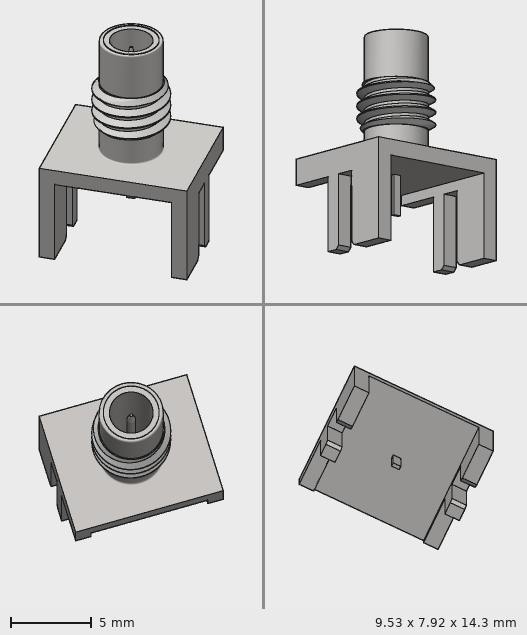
import cadquery as cq
import math

width = 9.53
depth = 7.92
total_height = 14.27
plate_top = 6.44
plate_thickness = 1.01
wall_thickness = 1.0
wall_height = 1.67
front_leg_width = 2.6
leg_gap = 1.24
back_leg_width = 1.03
foot_chamfer = 0.24

barrel_radius = 3.97 / 2
edge_fillet = 0.1
bore_radius = 2.7 / 2
recess_radius = 3.45 / 2
recess_depth = 0.05

thread_bottom = 8.2
thread_top = 11.25
thread_pitch = 0.8
sweep_turns = 6
lead_in_turns = 2
crest_radius = 4.9 / 2
thread_end_radius = 2.05
crest_height_at_x = 8.7
flank_half_height = 0.31
crest_flat = 0.07
thread_core_radius = 2.0
envelope_clearance = 0.04
thread_overlap = 0.05

pin_radius = 0.53 / 2
pin_tip_radius = 0.09
pin_top = 13.74
pin_taper_length = 0.8
tail_width = 0.53
tail_thickness = 0.23
tail_length = 2.57


def make_bracket():
    """Extrude the legged side outline across X and clear the space between the walls."""
    front = -depth / 2
    gap_front = front + front_leg_width
    gap_back = gap_front + leg_gap
    leg_back = gap_back + back_leg_width
    wall_bottom = plate_top - wall_height
    bracket = (
        cq.Workplane("YZ")
        .moveTo(front, 0)
        .lineTo(gap_front - foot_chamfer, 0)
        .lineTo(gap_front, foot_chamfer)
        .lineTo(gap_front, wall_bottom)
        .lineTo(gap_back, wall_bottom)
        .lineTo(gap_back, foot_chamfer)
        .lineTo(gap_back + foot_chamfer, 0)
        .lineTo(leg_back, 0)
        .lineTo(leg_back, wall_bottom)
        .lineTo(depth / 2, wall_bottom)
        .lineTo(depth / 2, plate_top)
        .lineTo(front, plate_top)
        .close()
        .extrude(width / 2, both=True)
    )
    channel = cq.Workplane("XY").box(
        width - 2 * wall_thickness,
        depth,
        plate_top - plate_thickness,
        centered=(True, True, False),
    )
    return bracket.cut(channel)


def make_barrel():
    """Revolve the barrel with a rounded rim and a concave fillet at the plate."""
    plate_bottom = plate_top - plate_thickness
    foot_radius = barrel_radius + edge_fillet
    arc_step = edge_fillet * (1 - math.sqrt(0.5))
    return (
        cq.Workplane("XZ")
        .moveTo(0, plate_bottom)
        .lineTo(foot_radius, plate_bottom)
        .lineTo(foot_radius, plate_top)
        .threePointArc(
            (barrel_radius + arc_step, plate_top + arc_step),
            (barrel_radius, plate_top + edge_fillet),
        )
        .lineTo(barrel_radius, total_height - edge_fillet)
        .threePointArc(
            (barrel_radius - arc_step, total_height - arc_step),
            (barrel_radius - edge_fillet, total_height),
        )
        .lineTo(0, total_height)
        .close()
        .revolve(360, (0, 0, 0), (0, 1, 0))
    )


def make_thread():
    """Sweep a ridge along a helix, trim it to chamfered ends and add the thread core."""
    start = crest_height_at_x - lead_in_turns * thread_pitch
    root_radius = barrel_radius - thread_overlap
    crest_half_height = crest_flat / 2
    flank_slope = (flank_half_height - crest_half_height) / (crest_radius - barrel_radius)
    root_half_height = crest_half_height + flank_slope * (crest_radius - root_radius)
    helix = cq.Wire.makeHelix(
        thread_pitch, sweep_turns * thread_pitch, barrel_radius, cq.Vector(0, 0, start)
    )
    ridge = (
        cq.Workplane("XZ")
        .polyline(
            [
                (root_radius, start - root_half_height),
                (crest_radius, start - crest_half_height),
                (crest_radius, start + crest_half_height),
                (root_radius, start + root_half_height),
            ]
        )
        .close()
        .sweep(cq.Workplane(obj=helix), isFrenet=True)
    )
    envelope_radius = crest_radius + envelope_clearance
    end_chamfer = envelope_radius - thread_end_radius
    envelope = (
        cq.Workplane("XY", origin=(0, 0, thread_bottom))
        .circle(envelope_radius)
        .extrude(thread_top - thread_bottom)
        .edges()
        .chamfer(end_chamfer)
    )
    core = (
        cq.Workplane("XY", origin=(0, 0, thread_bottom))
        .circle(thread_core_radius)
        .extrude(thread_top - thread_bottom)
    )
    return ridge.intersect(envelope).union(core)


def make_bore():
    """Blind bore down to the plate, with a shallow recess inside the rim."""
    bore = (
        cq.Workplane("XY", origin=(0, 0, plate_top))
        .circle(bore_radius)
        .extrude(total_height - plate_top)
    )
    recess = (
        cq.Workplane("XY", origin=(0, 0, total_height - recess_depth))
        .circle(recess_radius)
        .extrude(recess_depth)
    )
    return bore.union(recess)


def make_contact():
    """Pointed pin standing on the bore floor, and the flat tail under the plate."""
    plate_bottom = plate_top - plate_thickness
    pin = (
        cq.Workplane("XZ")
        .moveTo(0, plate_bottom)
        .lineTo(pin_radius, plate_bottom)
        .lineTo(pin_radius, pin_top - pin_taper_length)
        .lineTo(pin_tip_radius, pin_top)
        .lineTo(0, pin_top)
        .close()
        .revolve(360, (0, 0, 0), (0, 1, 0))
    )
    tail = (
        cq.Workplane("XY", origin=(0, 0, plate_bottom))
        .rect(tail_width, tail_thickness)
        .extrude(-tail_length)
    )
    return pin.union(tail)


result = (
    make_bracket()
    .union(make_barrel())
    .union(make_thread())
    .cut(make_bore())
    .union(make_contact())
)